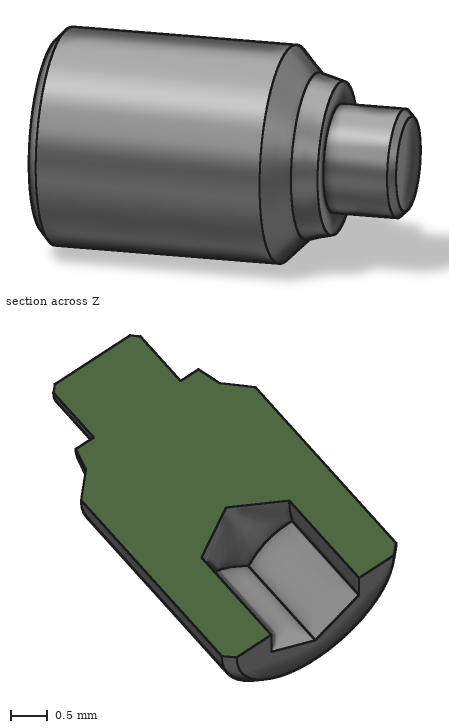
import cadquery as cq
import math

total_length = 5.0
body_radius = 1.5
socket_end_chamfer_length = 0.14
socket_end_chamfer_height = 0.15
body_end = 3.3

shoulder_radius = 1.15
shoulder_start = body_end + (body_radius - shoulder_radius)
neck_taper_angle = 15.0

dog_radius = 0.75
dog_length = 1.0
dog_start = total_length - dog_length
dog_chamfer = 0.1
neck_radius = shoulder_radius - (dog_start - shoulder_start) * math.tan(math.radians(neck_taper_angle))

socket_across_flats = 1.5
socket_depth = 1.5
socket_floor_angle = 120.0
socket_corner_radius = socket_across_flats / 2 / math.cos(math.radians(30))
socket_cone_depth = socket_corner_radius / math.tan(math.radians(socket_floor_angle / 2))


def revolve_about_x(profile):
    """Spin a closed (axial position, radius) profile about the X axis."""
    return cq.Workplane("XY").polyline(profile).close().revolve(360, (0, 0, 0), (1, 0, 0))


def make_body():
    return revolve_about_x([
        (0, 0),
        (0, body_radius - socket_end_chamfer_height),
        (socket_end_chamfer_length, body_radius),
        (body_end, body_radius),
        (shoulder_start, shoulder_radius),
        (dog_start, neck_radius),
        (dog_start, dog_radius),
        (total_length - dog_chamfer, dog_radius),
        (total_length, dog_radius - dog_chamfer),
        (total_length, 0),
    ])


def make_socket():
    """Hexagonal socket with corners at +Z and -Z, closed by a conical floor."""
    socket_bottom = socket_depth + socket_cone_depth
    hexagon = (
        cq.Workplane("YZ")
        .transformed(rotate=(0, 0, 90))
        .polygon(6, 2 * socket_corner_radius)
        .extrude(socket_bottom)
    )
    drill_envelope = revolve_about_x([
        (0, 0),
        (0, socket_corner_radius),
        (socket_depth, socket_corner_radius),
        (socket_bottom, 0),
    ])
    return hexagon.intersect(drill_envelope)


result = make_body().cut(make_socket())